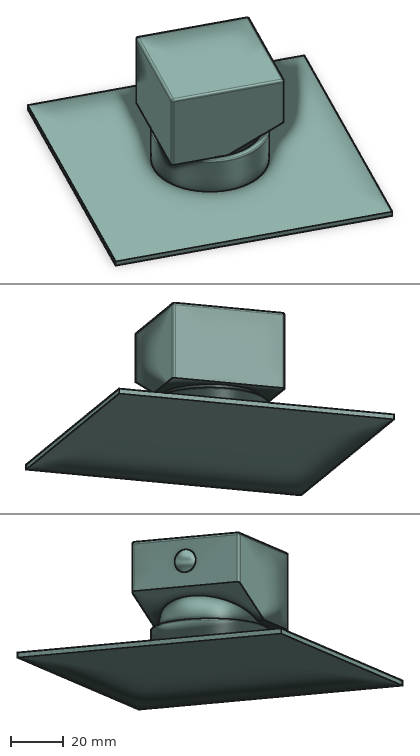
import cadquery as cq

plate_side = 110.0
plate_thickness = 2.0
collar_height = 14.2
collar_radius = 22.4
collar_rounding = 0.5

head_side = 45.0
head_height = 29.9
head_gap = 2.0
rear_cut_height = 10.7
head_rounding = 1.0

ball_radius = 19.7
button_radius = 4.4
button_height = 1.9
button_depth_below_top = 9.4

head_half = head_side / 2
collar_top = plate_thickness + collar_height
head_bottom = collar_top + head_gap
head_top = head_bottom + head_height
rear_bottom = head_bottom + rear_cut_height
button_z = head_top - button_depth_below_top
button_sphere_radius = (button_radius**2 + button_height**2) / (2 * button_height)
button_sphere_y = head_half + button_height - button_sphere_radius


def make_base():
    """Square wall plate with a round collar standing on it."""
    plate = cq.Workplane("XY").rect(plate_side, plate_side).extrude(plate_thickness)
    collar = (
        cq.Workplane("XY", origin=(0, 0, plate_thickness))
        .circle(collar_radius)
        .extrude(collar_height)
        .faces(">Z")
        .edges()
        .fillet(collar_rounding)
    )
    return plate.union(collar)


def make_block():
    """Square block with a slanted rear underside and rounded upright and top edges."""
    return (
        cq.Workplane("YZ")
        .moveTo(-head_half, head_bottom)
        .lineTo(0, head_bottom)
        .lineTo(head_half, rear_bottom)
        .lineTo(head_half, head_top)
        .lineTo(-head_half, head_top)
        .close()
        .extrude(head_half, both=True)
        .edges("|Z or >Z")
        .fillet(head_rounding)
    )


def make_half_ball():
    """Upper half of a ball, resting with its flat side on the collar."""
    return (
        cq.Workplane("XZ")
        .lineTo(ball_radius, 0)
        .radiusArc((0, ball_radius), -ball_radius)
        .close()
        .revolve(360, (0, 0), (0, 1))
        .translate((0, 0, collar_top))
    )


def make_button():
    """Ball set into the rear face so that a shallow dome stands out."""
    return cq.Workplane("XY").sphere(button_sphere_radius).translate((0, button_sphere_y, button_z))


def make_head():
    """Handle made of the block, the half ball below it and the button behind it."""
    return make_block().union(make_half_ball()).union(make_button())


base = make_base()
head = make_head()
result = cq.Compound.makeCompound([base.solids().val(), head.solids().val()])